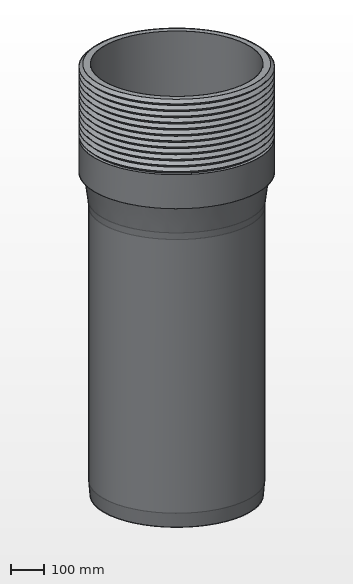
import cadquery as cq

total_height = 1400.0
thread_pitch = 20.0
thread_count = 12
collar_height = 110.0
collar_diameter = 590.0
thread_root_diameter = 565.0
ring_bore = 520.0

pipe_diameter = 530.0
pipe_bore = 493.0
pipe_end_diameter = 522.0
end_taper_height = 48.0
flare_top_diameter = 560.0
flare_height = 101.0
outer_blend_radius = 154.0
inner_blend_radius = 350.0

selection_tolerance = 0.1

collar_top = total_height - thread_count * thread_pitch
collar_bottom = collar_top - collar_height
flare_bottom = collar_bottom - flare_height


def revolve_profile(points):
    """Revolve a closed outline of (radius, height) points about the Z axis."""
    return cq.Workplane("XZ").polyline(points).close().revolve(360, (0, 0), (0, 1))


def thread_profile():
    """Root and crest points of the ring-shaped thread ridges, from bottom to top."""
    root_radius = thread_root_diameter / 2
    crest_radius = collar_diameter / 2
    points = [(root_radius, collar_top)]
    for ridge in range(thread_count):
        ridge_bottom = collar_top + ridge * thread_pitch
        points.append((crest_radius, ridge_bottom + thread_pitch / 2))
        points.append((root_radius, ridge_bottom + thread_pitch))
    return points


def make_threaded_ring():
    """Ring with a plain collar below its thread, standing on the flared pipe."""
    outline = [
        (ring_bore / 2, collar_bottom),
        (collar_diameter / 2, collar_bottom),
        (collar_diameter / 2, collar_top),
    ]
    outline += thread_profile()
    outline.append((ring_bore / 2, total_height))
    return revolve_profile(outline)


def blend_bend(pipe, bend_radius, blend_radius):
    """Round the circular bend of the given radius at the bottom of the flare."""
    seam_point = (bend_radius, 0, flare_bottom)
    bends = [
        edge for edge in pipe.edges("%CIRCLE").vals()
        if edge.distance(cq.Vertex.makeVertex(*seam_point)) < selection_tolerance
    ]
    return pipe.newObject(bends).fillet(blend_radius)


def make_pipe():
    """Pipe with a tapered bottom end and a conical flare blended into its walls."""
    pipe = revolve_profile([
        (pipe_bore / 2, 0),
        (pipe_end_diameter / 2, 0),
        (pipe_diameter / 2, end_taper_height),
        (pipe_diameter / 2, flare_bottom),
        (flare_top_diameter / 2, collar_bottom),
        (ring_bore / 2, collar_bottom),
        (pipe_bore / 2, flare_bottom),
    ])
    pipe = blend_bend(pipe, pipe_diameter / 2, outer_blend_radius)
    return blend_bend(pipe, pipe_bore / 2, inner_blend_radius)


threaded_ring = make_threaded_ring()
pipe = make_pipe()

result = cq.Compound.makeCompound([threaded_ring.val(), pipe.val()])